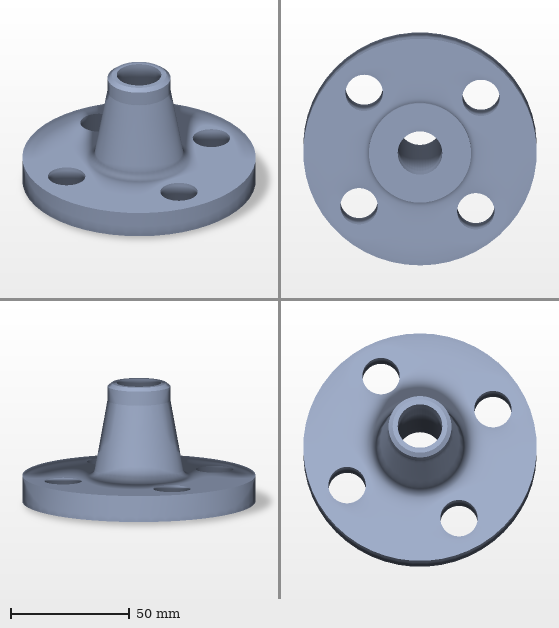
import cadquery as cq

flange_diameter = 98.5
flange_thickness = 11.1
face_diameter = 43.2
face_height = 1.7

overall_height = 52.4
hub_base_diameter = 38.2
hub_fillet_radius = 3.1
neck_diameter = 26.6
neck_length = 7.4
bevel_height = 1.4
bevel_width = 1.8

bore_diameter = 18.8
bolt_hole_diameter = 15.8
bolt_circle_diameter = 69.8
bolt_count = 4

flange_top = face_height + flange_thickness
neck_bottom = overall_height - neck_length
bevel_bottom = overall_height - bevel_height


def revolved_body():
    """Flange, hub and neck turned as one solid about the Z axis."""
    face_radius = face_diameter / 2
    flange_radius = flange_diameter / 2
    neck_radius = neck_diameter / 2
    profile = [
        (0, 0),
        (face_radius, 0),
        (face_radius, face_height),
        (flange_radius, face_height),
        (flange_radius, flange_top),
        (hub_base_diameter / 2, flange_top),
        (neck_radius, neck_bottom),
        (neck_radius, bevel_bottom),
        (neck_radius - bevel_width, overall_height),
        (0, overall_height),
    ]
    return cq.Workplane("XZ").polyline(profile).close().revolve(360, (0, 0), (0, 1))


def fillet_hub_base(body):
    """Round the corner where the hub rises from the flange."""
    reach = hub_base_diameter / 2 + hub_fillet_radius
    corner = cq.selectors.BoxSelector(
        (-reach, -reach, flange_top - hub_fillet_radius),
        (reach, reach, flange_top + hub_fillet_radius),
        boundingbox=True,
    )
    return body.edges(corner).fillet(hub_fillet_radius)


def through_holes():
    """Central bore and the ring of bolt holes, as cutting cylinders."""
    bore = cq.Workplane("XY").circle(bore_diameter / 2).extrude(overall_height)
    bolt_holes = (
        cq.Workplane("XY")
        .polarArray(bolt_circle_diameter / 2, 0, 360, bolt_count)
        .circle(bolt_hole_diameter / 2)
        .extrude(flange_top)
    )
    return bore.union(bolt_holes)


result = fillet_hub_base(revolved_body()).cut(through_holes())